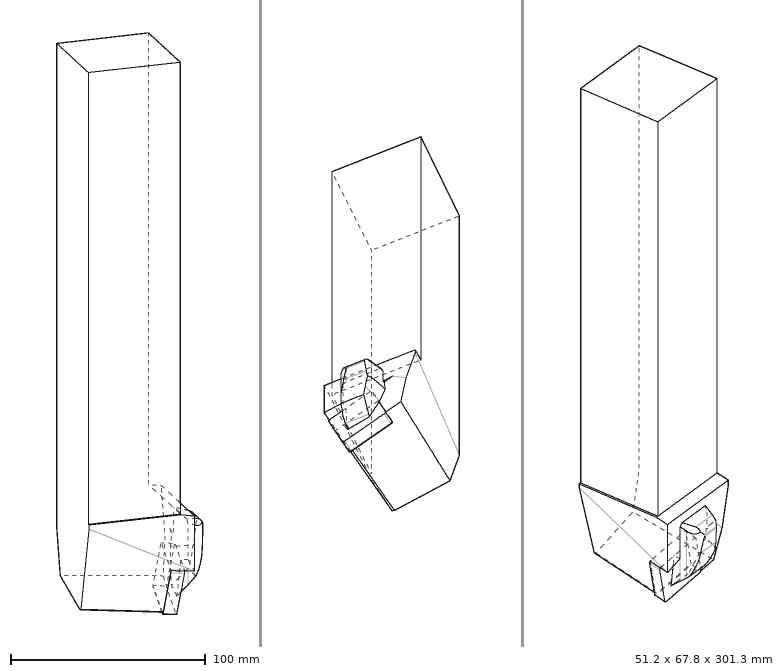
import cadquery as cq
import math

total_length = 301.3
shank_size = 50.0
left_draft = 0.5
head_width = 51.2
head_depth = 57.3
head_top_inner = 56.7
head_top_outer = 55.0

approach_angle = math.radians(15)
clearance_slope = 0.107
tip_x = 44.0
tip_y = 50.0
tip_z = -0.3
insert_size = 27.0
insert_thickness = 7.2
nose_radius = 1.2
insert_overhang = 0.5
holder_corner = 1.2

bevel_start_z = 41.5
bevel_slope = 0.22
bevel_rise = 0.18

clamp_root_y = 48.2
clamp_crest_y = 67.8
clamp_draft = 25
clamp_root_left = 14.0
clamp_root_right = 49.7
clamp_root_bottom = 6.0
clamp_root_top = 55.7
clamp_left_bevel_width = 3.0
clamp_left_bevel_height = 9.3
clamp_right_bevel = 10.8
clamp_nose_start_z = 27.0
clamp_nose_bend_x = 18.7
clamp_nose_bend_z = 18.0
clamp_nose_end_x = 28.5
clamp_crest_left = 23.8
clamp_crest_right = 33.8
clamp_crest_reach = 10.0
clamp_right = 40.7
clamp_top_z = 49.7
clamp_tip_y = 54.0
clamp_tip_z = 11.5
clamp_top_edge = (64.0, 48.2)
clamp_top_round_middle = (67.0, 46.0)
clamp_crest = (clamp_crest_y, 42.8)
clamp_nose_round_start = (67.0, 33.0)
clamp_nose_round_middle = (65.5, 25.3)
clamp_nose_round_end = (62.0, 18.5)
clamp_flank_round_middle = (38.3, 64.8)
clamp_flank_round_end = (39.8, 61.0)

reach = 452.0


def make_seat_plane():
    """Frame at the cutting tip: x and y along the insert edges, z out of its face."""
    edge_x = -math.cos(approach_angle)
    edge_z = math.sin(approach_angle)
    edge_y = clearance_slope * (edge_z - edge_x)
    return cq.Plane(
        origin=(tip_x, tip_y, tip_z),
        xDir=(edge_x, edge_y, edge_z),
        normal=(clearance_slope, 1, -clearance_slope),
    )


seat = make_seat_plane()


def make_insert():
    plate = (
        cq.Workplane()
        .rect(insert_size, insert_size, centered=False)
        .extrude(-insert_thickness)
        .edges("|Z")
        .fillet(nose_radius)
    )
    return cq.Workplane(plate.val().moved(cq.Location(seat)))


def make_blank():
    shank = cq.Workplane("XY").box(shank_size, shank_size, total_length, centered=False)
    head_profile = [
        (0, 0),
        (head_depth, 0),
        (head_depth, head_top_outer),
        (shank_size, head_top_inner),
        (0, head_top_inner),
    ]
    head = cq.Workplane("YZ").polyline(head_profile).close().extrude(head_width)
    draft_wedge = (
        cq.Workplane("XY")
        .polyline([(0, 0), (left_draft, 0), (0, head_depth)])
        .close()
        .extrude(total_length)
    )
    return shank.union(head).cut(draft_wedge)


def trim_cutting_sides(body):
    """Keep only the material behind the two clearance faces."""
    kept = (
        cq.Workplane(seat)
        .workplane(offset=-reach / 2)
        .center(insert_overhang, insert_overhang)
        .rect(reach, reach, centered=False)
        .extrude(reach)
        .edges(cq.selectors.NearestToPointSelector((tip_x, tip_y, tip_z)))
        .chamfer(holder_corner)
    )
    return body.intersect(kept)


def cut_rake_face(body):
    """Lower the head flush with the insert face beside the insert."""
    cutter = cq.Workplane(seat).rect(reach, 2 * insert_size).extrude(insert_size)
    return body.cut(cutter)


def cut_bevel(body):
    bevel_plane = cq.Plane(
        origin=(0, 0, bevel_start_z),
        xDir=(-bevel_slope, 0, 1),
        normal=(-1, bevel_slope * bevel_rise, -bevel_slope),
    )
    return body.cut(cq.Workplane(bevel_plane).rect(reach, reach).extrude(reach))


def make_clamp_finger():
    """Drafted finger with beveled upper corners and a nose that narrows in two steps."""
    outline = [
        (clamp_root_left, clamp_nose_start_z),
        (clamp_root_left, clamp_root_top - clamp_left_bevel_height),
        (clamp_root_left + clamp_left_bevel_width, clamp_root_top),
        (clamp_root_right - clamp_right_bevel, clamp_root_top),
        (clamp_root_right, clamp_root_top - clamp_right_bevel),
        (clamp_root_right, clamp_root_bottom),
        (clamp_nose_end_x, clamp_root_bottom),
        (clamp_nose_bend_x, clamp_nose_bend_z),
    ]
    root_plane = cq.Plane(origin=(0, clamp_root_y, 0), xDir=(-1, 0, 0), normal=(0, 1, 0))
    mirrored = [(-x, z) for x, z in outline]
    height = clamp_crest_y - clamp_root_y
    return cq.Workplane(root_plane).polyline(mirrored).close().extrude(height, taper=clamp_draft)


def make_clamp_side():
    """Rounded crest and nose, as a YZ profile across the head."""
    return (
        cq.Workplane("YZ")
        .moveTo(clamp_root_y, clamp_top_z)
        .lineTo(head_depth, clamp_top_z)
        .lineTo(*clamp_top_edge)
        .threePointArc(clamp_top_round_middle, clamp_crest)
        .lineTo(*clamp_nose_round_start)
        .threePointArc(clamp_nose_round_middle, clamp_nose_round_end)
        .lineTo(clamp_tip_y, clamp_tip_z)
        .lineTo(clamp_root_y, clamp_root_bottom)
        .close()
        .extrude(head_width)
    )


def make_clamp_section():
    """Beveled left and rounded right flank, as an XY profile along the finger."""
    return (
        cq.Workplane("XY")
        .moveTo(clamp_crest_reach, clamp_root_y)
        .lineTo(clamp_crest_left, clamp_crest_y)
        .lineTo(clamp_crest_right, clamp_crest_y)
        .threePointArc(clamp_flank_round_middle, clamp_flank_round_end)
        .lineTo(clamp_right, head_depth)
        .lineTo(clamp_right, clamp_root_y)
        .close()
        .extrude(clamp_root_top)
    )


def make_clamp():
    return make_clamp_finger().intersect(make_clamp_side()).intersect(make_clamp_section())


insert = make_insert()
holder = make_blank()
holder = trim_cutting_sides(holder)
holder = cut_rake_face(holder)
holder = cut_bevel(holder)
holder = holder.union(make_clamp()).cut(insert)

result = cq.Compound.makeCompound([holder.solids().val(), insert.solids().val()])